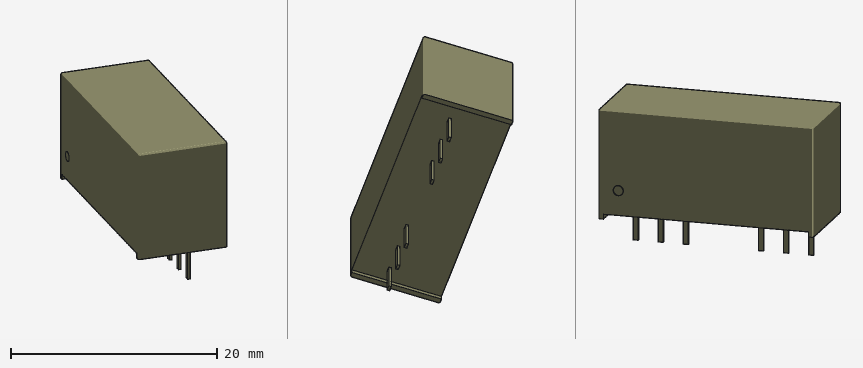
import cadquery as cq

length = 21.8
width = 9.2
overall_height = 14.7
pin_length = 3.6
housing_height = overall_height - pin_length
edge_radius = 0.2
foot_length = 0.5
foot_height = 0.5

pin_row_span = 17.79
pin_width = 0.5
pin_thickness = 0.26
pin_row_y = 1.29
pin_slots = (0, 1, 2, 5, 6, 7)
pin_pitch = pin_row_span / pin_slots[-1]
first_pin_x = -pin_row_span / 2

marker_diameter = 1.0
marker_depth = 0.1
marker_z = 3.0


def make_marker():
    front_face = cq.Workplane("XZ", origin=(first_pin_x, -width / 2, marker_z))
    return front_face.circle(marker_diameter / 2).extrude(-marker_depth)


def make_housing(marker):
    block = cq.Workplane("XY").box(length, width, housing_height, centered=(True, True, False))
    block = block.edges("|Z or >Z").fillet(edge_radius)
    channel = cq.Workplane("XY").box(
        length - 2 * foot_length, width, foot_height, centered=(True, True, False)
    )
    return block.cut(channel).cut(marker)


def make_pin(slot):
    x = first_pin_x + slot * pin_pitch
    base = cq.Workplane("XY", origin=(x, pin_row_y, 0))
    return base.rect(pin_width, pin_thickness).extrude(-pin_length)


marker = make_marker()
housing = make_housing(marker)
pins = [make_pin(slot).val() for slot in pin_slots]

result = cq.Compound.makeCompound([housing.val(), marker.val(), *pins])